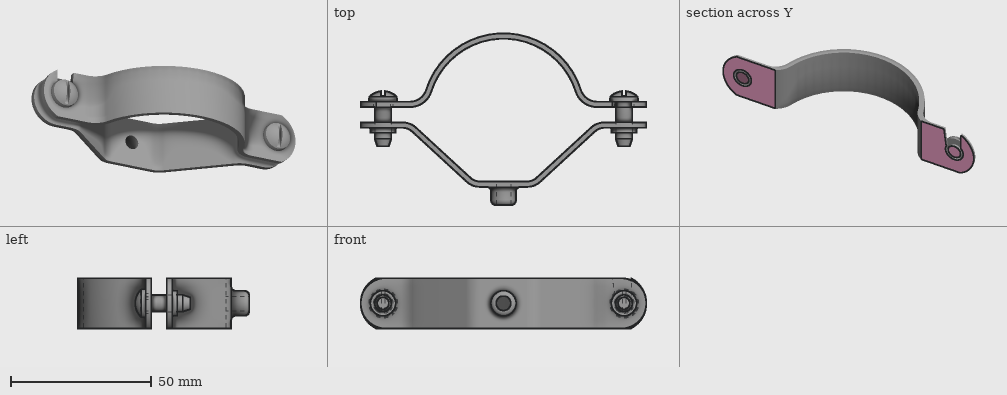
import cadquery as cq
import math


overall_length = 102
strap_width = 18
thickness = 2
ear_gap = 5.4
half_length = overall_length / 2
screw_x = 43

arch_outer_radius = 29
arch_inner_radius = arch_outer_radius - thickness
arch_bend_radius = 6
arch_ear_end_radius = 10
arch_ear_inner_y = 2.6
arch_ear_outer_y = arch_ear_inner_y + thickness
screw_hole_radius = 3.5
slot_outer_wall_x = 45.6
slot_neck_x = 39.8
slot_mouth_x = 38.85

angled_ear_inner_y = arch_ear_inner_y - ear_gap
angled_ear_outer_y = angled_ear_inner_y - thickness
base_outer_y = -25.9
base_inner_y = base_outer_y + thickness
base_bend_x = 8.4
ear_bend_x = 36
inner_bend_radius = 5
outer_bend_radius = inner_bend_radius + thickness
angled_ear_end_radius = strap_width / 2

boss_radius = 4.5
boss_height = 6.5
boss_bore_radius = 2.6
boss_root_fillet = 1.5

collar_radius = 4.5
collar_height = 1.8
collar_root_fillet = 0.5

shank_radius = 3
neck_radius = 2.6
head_base_radius = 5.15
head_rim_radius = 4.9
head_rim_height = 1.7
head_height = 3.8
driver_slot_width = 1.3
driver_slot_floor = 2.05
cone_start_y = -8.6
tip_y = -11.35
tip_radius = 2.1


def point_on_circle(center, radius, angle):
    """Point at an angle, in radians, on a circle in the XY plane."""
    return (center[0] + radius * math.cos(angle), center[1] + radius * math.sin(angle))


def rounded_length(end_radius):
    """Block with the strap's outline in XZ, both ends rounded about Y."""
    half_width = strap_width / 2
    corner_x = half_length - end_radius + math.sqrt(end_radius**2 - half_width**2)
    outline = (
        cq.Workplane("XZ")
        .moveTo(-corner_x, -half_width)
        .lineTo(corner_x, -half_width)
        .threePointArc((half_length, 0), (corner_x, half_width))
        .lineTo(-corner_x, half_width)
        .threePointArc((-half_length, 0), (-corner_x, -half_width))
        .close()
    )
    return outline.extrude(overall_length, both=True)


def strap_from_half(half_profile, end_radius):
    """Extrude the +X half of a strap, mirror it and round its ears."""
    half = half_profile.extrude(strap_width / 2, both=True)
    strap = half.mirror("YZ", union=True).clean()
    return strap.intersect(rounded_length(end_radius))


def cylinder_along_y(radius, x, start_y, end_y):
    disc = cq.Workplane("XZ", origin=(x, start_y, 0)).circle(radius)
    return disc.extrude(start_y - end_y)


def arched_half_profile():
    bend_y = arch_ear_outer_y + arch_bend_radius
    bend_angle = math.asin(bend_y / (arch_outer_radius + arch_bend_radius))
    bend_x = (arch_outer_radius + arch_bend_radius) * math.cos(bend_angle)
    bend = (bend_x, bend_y)
    far_bend_radius = arch_bend_radius + thickness

    arch_mid_angle = (math.pi / 2 + bend_angle) / 2
    bend_start = math.pi + bend_angle
    bend_end = 1.5 * math.pi
    bend_mid = (bend_start + bend_end) / 2
    center = (0, 0)
    return (
        cq.Workplane("XY")
        .moveTo(0, arch_outer_radius)
        .threePointArc(
            point_on_circle(center, arch_outer_radius, arch_mid_angle),
            point_on_circle(center, arch_outer_radius, bend_angle),
        )
        .threePointArc(point_on_circle(bend, arch_bend_radius, bend_mid), (bend_x, arch_ear_outer_y))
        .lineTo(half_length, arch_ear_outer_y)
        .lineTo(half_length, arch_ear_inner_y)
        .lineTo(bend_x, arch_ear_inner_y)
        .threePointArc(
            point_on_circle(bend, far_bend_radius, bend_mid),
            point_on_circle(bend, far_bend_radius, bend_start),
        )
        .threePointArc(
            point_on_circle(center, arch_inner_radius, arch_mid_angle),
            (0, arch_inner_radius),
        )
        .close()
    )


def slot_mouth():
    """Tapered mouth from the +X screw hole to the +Z edge, so that the ear hooks over its screw."""
    neck_z = math.sqrt(screw_hole_radius**2 - (screw_x - slot_neck_x) ** 2)
    mouth_z = strap_width / 2
    outline = [
        (slot_mouth_x, mouth_z),
        (slot_neck_x, neck_z),
        (slot_outer_wall_x, neck_z),
        (slot_outer_wall_x, mouth_z),
    ]
    return cq.Workplane("XZ", origin=(0, arch_ear_outer_y, 0)).polyline(outline).close().extrude(thickness)


def make_arched_strap():
    strap = strap_from_half(arched_half_profile(), arch_ear_end_radius)
    for x in (-screw_x, screw_x):
        strap = strap.cut(cylinder_along_y(screw_hole_radius, x, arch_ear_outer_y, arch_ear_inner_y))
    return strap.cut(slot_mouth())


def angled_half_profile():
    base_bend = (base_bend_x, base_outer_y + outer_bend_radius)
    ear_bend = (ear_bend_x, angled_ear_outer_y - inner_bend_radius)

    run = ear_bend[0] - base_bend[0]
    rise = ear_bend[1] - base_bend[1]
    radius_sum = inner_bend_radius + outer_bend_radius
    leg_angle = math.atan2(rise, run) + math.asin(radius_sum / math.hypot(run, rise))

    base_start = -math.pi / 2
    base_end = base_start + leg_angle
    base_mid = base_start + leg_angle / 2
    ear_start = math.pi / 2 + leg_angle
    ear_mid = math.pi / 2 + leg_angle / 2
    return (
        cq.Workplane("XY")
        .moveTo(0, base_outer_y)
        .lineTo(base_bend_x, base_outer_y)
        .threePointArc(
            point_on_circle(base_bend, outer_bend_radius, base_mid),
            point_on_circle(base_bend, outer_bend_radius, base_end),
        )
        .lineTo(*point_on_circle(ear_bend, inner_bend_radius, ear_start))
        .threePointArc(
            point_on_circle(ear_bend, inner_bend_radius, ear_mid),
            (ear_bend_x, angled_ear_outer_y),
        )
        .lineTo(half_length, angled_ear_outer_y)
        .lineTo(half_length, angled_ear_inner_y)
        .lineTo(ear_bend_x, angled_ear_inner_y)
        .threePointArc(
            point_on_circle(ear_bend, outer_bend_radius, ear_mid),
            point_on_circle(ear_bend, outer_bend_radius, ear_start),
        )
        .lineTo(*point_on_circle(base_bend, inner_bend_radius, base_end))
        .threePointArc(
            point_on_circle(base_bend, inner_bend_radius, base_mid),
            (base_bend_x, base_inner_y),
        )
        .lineTo(0, base_inner_y)
        .close()
    )


def make_boss():
    """Boss below the base, flared at its root and rounded over into its bore."""
    end_y = base_outer_y - boss_height
    end_fillet = boss_radius - boss_bore_radius
    root_center = (boss_radius + boss_root_fillet, base_outer_y - boss_root_fillet)
    end_center = (boss_bore_radius, end_y + end_fillet)
    profile = (
        cq.Workplane("XY")
        .moveTo(boss_bore_radius, base_outer_y)
        .lineTo(boss_radius + boss_root_fillet, base_outer_y)
        .threePointArc(
            point_on_circle(root_center, boss_root_fillet, 0.75 * math.pi),
            (boss_radius, base_outer_y - boss_root_fillet),
        )
        .lineTo(boss_radius, end_y + end_fillet)
        .threePointArc(point_on_circle(end_center, end_fillet, -math.pi / 4), (boss_bore_radius, end_y))
        .close()
    )
    return profile.revolve(360, (0, 0), (0, 1))


def make_collar(x):
    """Collar below an ear, flared at its root, with the screw's hole through it."""
    root_y = angled_ear_outer_y
    end_y = root_y - collar_height
    root_center = (collar_radius + collar_root_fillet, root_y - collar_root_fillet)
    profile = (
        cq.Workplane("XY")
        .moveTo(shank_radius, root_y)
        .lineTo(collar_radius + collar_root_fillet, root_y)
        .threePointArc(
            point_on_circle(root_center, collar_root_fillet, 0.75 * math.pi),
            (collar_radius, root_y - collar_root_fillet),
        )
        .lineTo(collar_radius, end_y)
        .lineTo(shank_radius, end_y)
        .close()
    )
    return profile.revolve(360, (0, 0), (0, 1)).translate((x, 0, 0))


def make_angled_strap():
    strap = strap_from_half(angled_half_profile(), angled_ear_end_radius)
    strap = strap.cut(cylinder_along_y(boss_bore_radius, 0, base_inner_y, base_outer_y))
    strap = strap.union(make_boss())
    for x in (-screw_x, screw_x):
        strap = strap.cut(cylinder_along_y(shank_radius, x, angled_ear_inner_y, angled_ear_outer_y))
        strap = strap.union(make_collar(x))
    return strap


def make_screw(x):
    """Slotted domed screw along Y, necked down where it passes through the arched strap."""
    rim_y = arch_ear_outer_y + head_rim_height
    top_y = arch_ear_outer_y + head_height
    dome_height = head_height - head_rim_height
    dome_radius = (head_rim_radius**2 + dome_height**2) / (2 * dome_height)
    dome_center = (0, top_y - dome_radius)
    dome_half_angle = math.asin(head_rim_radius / dome_radius)
    dome_middle = point_on_circle(dome_center, dome_radius, (math.pi - dome_half_angle) / 2)
    profile = (
        cq.Workplane("XY")
        .moveTo(0, tip_y)
        .lineTo(tip_radius, tip_y)
        .lineTo(shank_radius, cone_start_y)
        .lineTo(shank_radius, arch_ear_inner_y)
        .lineTo(neck_radius, arch_ear_inner_y)
        .lineTo(neck_radius, arch_ear_outer_y)
        .lineTo(head_base_radius, arch_ear_outer_y)
        .lineTo(head_rim_radius, rim_y)
        .threePointArc(dome_middle, (0, top_y))
        .close()
    )
    driver_slot = cq.Workplane("XY").box(
        driver_slot_width, head_height, 2 * head_base_radius, centered=(True, False, True)
    )
    driver_slot = driver_slot.translate((0, arch_ear_outer_y + driver_slot_floor, 0))
    screw = profile.revolve(360, (0, 0), (0, 1)).cut(driver_slot)
    return screw.translate((x, 0, 0))


arched_strap = make_arched_strap()
angled_strap = make_angled_strap()
screws = [make_screw(x) for x in (-screw_x, screw_x)]

result = cq.Compound.makeCompound(
    [arched_strap.val(), angled_strap.val(), *[screw.val() for screw in screws]]
)